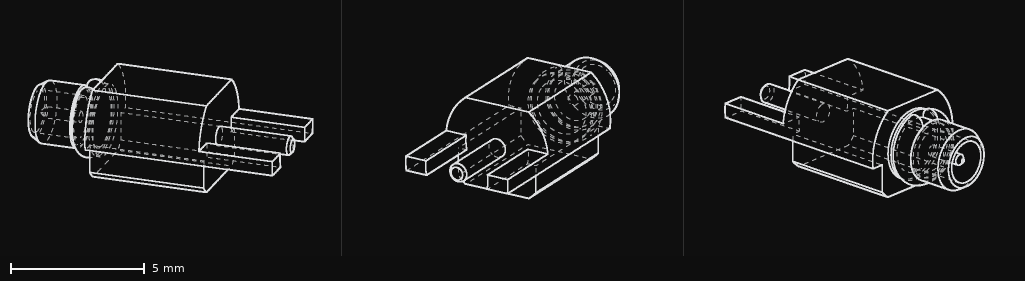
import cadquery as cq

nose_length = 0.35
barrel_end = 1.73
flange_start = 2.55
body_start = 2.7
body_end = 7.23
overall_length = 10.16

body_radius = 2.24
body_height = 3.51
lower_width = 3.39
step_z = -0.35

leg_top_z = 0.23
leg_inner_radius = 1.36
pin_radius = 0.37
pin_chamfer = 0.11

barrel_radius = 1.2
nose_radius = 1.0
neck_radius = 1.07
flange_radius = 1.38
bore_radius = 0.81
bore_depth = 1.73

ring_radius = 1.12
ring_wire_radius = 0.37
ring_center_x = flange_start - ring_wire_radius
ring_gap = 0.83

contact_start = 0.17
contact_radius = 0.21
contact_tip_radius = 0.07
contact_tip_length = 0.16


def rod(start, end, radius):
    """Round bar along the X axis."""
    return cq.Workplane("YZ", origin=(start, 0, 0)).circle(radius).extrude(end - start)


def block(start, end, width, bottom, top):
    """Box centred on Y, between two X positions and two Z heights."""
    return (
        cq.Workplane("XY", origin=(start, 0, bottom))
        .rect(end - start, width, centered=(False, True))
        .extrude(top - bottom)
    )


def make_body():
    """Round bar with flat top and bottom, stepped in at both lower sides."""
    half_height = body_height / 2
    upper = block(body_start, body_end, 2 * body_radius, step_z, half_height)
    lower = block(body_start, body_end, lower_width, -half_height, step_z)
    return rod(body_start, body_end, body_radius).intersect(upper.union(lower))


def make_legs():
    """Two flat-topped legs that continue the curved sides of the body."""
    legs = rod(body_end, overall_length, body_radius)
    legs = legs.cut(rod(body_end, overall_length, leg_inner_radius))
    return legs.intersect(block(body_end, overall_length, 2 * body_radius, step_z, leg_top_z))


def make_barrel():
    """Tapered barrel, neck and flange around an open bore."""
    barrel = rod(0, barrel_end, barrel_radius).faces("<X").chamfer(nose_length, barrel_radius - nose_radius)
    barrel = barrel.union(rod(barrel_end, flange_start, neck_radius))
    barrel = barrel.union(rod(flange_start, body_start, flange_radius))
    return barrel.cut(rod(0, bore_depth, bore_radius))


def make_ring():
    """Round-wire ring around the neck, open at the top."""
    ring = cq.Workplane(
        cq.Solid.makeTorus(
            ring_radius, ring_wire_radius, cq.Vector(ring_center_x, 0, 0), cq.Vector(1, 0, 0)
        )
    )
    ring_outer = ring_radius + ring_wire_radius
    gap = block(ring_center_x - ring_wire_radius, flange_start, ring_gap, 0, ring_outer)
    return ring.cut(gap).cut(rod(barrel_end, flange_start, neck_radius))


def make_contact():
    """Pointed contact standing on the floor of the bore."""
    contact = rod(contact_start, bore_depth, contact_radius)
    return contact.faces("<X").chamfer(contact_tip_length, contact_radius - contact_tip_radius)


def make_pin():
    """Round solder pin with a chamfered tip."""
    return rod(body_end, overall_length, pin_radius).faces(">X").chamfer(pin_chamfer)


result = make_body()
for feature in (make_legs(), make_pin(), make_barrel(), make_ring(), make_contact()):
    result = result.union(feature)